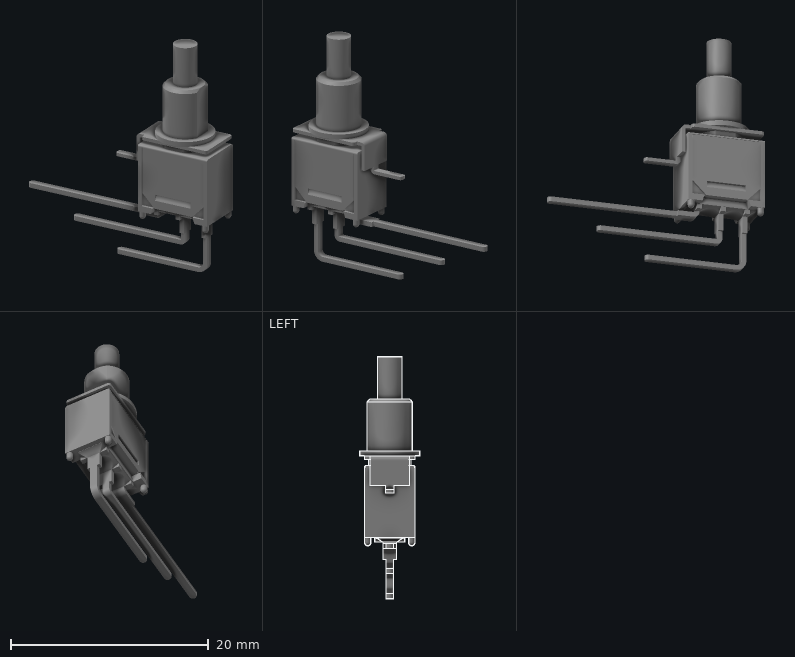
import cadquery as cq
import math


OVERALL_LENGTH = 22.35
OVERALL_HEIGHT = 24.5

HOUSING_LENGTH = 8.13
HOUSING_WIDTH = 5.12
HOUSING_HEIGHT = 7.3
HOUSING_EDGE_RADIUS = 0.22
HALF_WIDTH = HOUSING_WIDTH / 2

WINDOW_LEFT = -3.65
WINDOW_RIGHT = 3.65
WINDOW_BOTTOM = 0.65
WINDOW_TOP = HOUSING_HEIGHT - HOUSING_EDGE_RADIUS
WINDOW_DEPTH = 0.3
PANEL_RECESS = 0.07
PANEL_GAP = 0.07
PANEL_CORNER = 1.42
GAP_HALF_TOP = 2.35
GAP_HALF_BOTTOM = 2.57
GAP_DEPTH = 0.98
NOTCH_LENGTH = 4.16
NOTCH_BOTTOM = 1.55
NOTCH_TOP = 2.2
NOTCH_DEPTH = 0.35

PEG_DIAMETER = 0.65
PEG_X = 3.7
PEG_Y = HALF_WIDTH - PEG_DIAMETER / 2
PEG_STRAIGHT = 0.51

BUTTON_DIAMETER = 2.5
BUTTON_TOP = 18.3
BUSHING_RADIUS = 2.3
BUSHING_TOP = 14.01
BUSHING_CHAMFER = 0.3
BUSHING_FLAT_X = 2.0
WASHER_DIAMETER = 6.1
WASHER_THICKNESS = 0.51
COLLAR_RADIUS = 2.4
COLLAR_FLATS = 4.3

BRACKET_THICKNESS = 0.37
BRACKET_TOP = 8.25
BRACKET_BOTTOM = BRACKET_TOP - BRACKET_THICKNESS
PLATE_LEFT = -3.63
PLATE_RIGHT = 4.02
PLATE_CORNER_RADIUS = 0.3
LEG_OUTER_X = -4.58
LEG_INNER_X = LEG_OUTER_X + BRACKET_THICKNESS
LEG_WIDTH = 4.0
LEG_BOTTOM = 5.27
BRACKET_INNER_RADIUS = 0.1
TAB_BOTTOM = 4.48
TAB_TIP_X = -7.99
TAB_WIDTH = 0.83
TAB_TIP_RADIUS = 0.3

PITCH = 2.55
LEAD_THICKNESS = 0.51
LEAD_WIDTH = 0.78
SHANK_WIDTH = 1.4
SHANK_BOTTOM = -2.23
SHANK_LEFT = -4.55
HEAD_WIDTH = 3.05
HEAD_BOTTOM = -0.47
ROOT_Z = 0.25
TIGHT_BEND_RADIUS = 0.12
TERMINALS = [
    (-PITCH, -1.13, HOUSING_LENGTH / 2 - OVERALL_LENGTH, TIGHT_BEND_RADIUS),
    (0, -3.63, -13.0, TIGHT_BEND_RADIUS),
    (PITCH, BUTTON_TOP - OVERALL_HEIGHT, -7.91, 0.6),
]

POTTING_HALF_TOP = 1.47
POTTING_HALF_BOTTOM = 0.74
POTTING_SAG = 0.02
POTTING_MIDDLE = -0.15


def block(x_min, x_max, width, z_min, z_max):
    """Box centred on Y = 0."""
    return (
        cq.Workplane("XY", origin=((x_min + x_max) / 2, 0, z_min))
        .rect(x_max - x_min, width)
        .extrude(z_max - z_min)
    )


def cylinder(radius, z_min, z_max):
    return cq.Workplane("XY", origin=(0, 0, z_min)).circle(radius).extrude(z_max - z_min)


def bent_strip(right_x, top_z, bottom_z, tip_x, thickness, inner_radius, width):
    """Strip that runs down at right_x, bends and runs along -X to tip_x."""
    outer_radius = inner_radius + thickness
    bend_x = right_x - outer_radius
    bend_z = bottom_z + outer_radius
    diagonal = math.sqrt(0.5)
    return (
        cq.Workplane("XZ")
        .moveTo(right_x, top_z)
        .lineTo(right_x, bend_z)
        .threePointArc(
            (bend_x + outer_radius * diagonal, bend_z - outer_radius * diagonal),
            (bend_x, bottom_z),
        )
        .lineTo(tip_x, bottom_z)
        .lineTo(tip_x, bottom_z + thickness)
        .lineTo(bend_x, bottom_z + thickness)
        .threePointArc(
            (bend_x + inner_radius * diagonal, bend_z - inner_radius * diagonal),
            (right_x - thickness, bend_z),
        )
        .lineTo(right_x - thickness, top_z)
        .close()
        .extrude(width / 2, both=True)
    )


def front_prism(points, depth_from, depth_to):
    """Prism of an XZ outline, between two depths below the front face of the housing."""
    return (
        cq.Workplane("XZ", origin=(0, depth_from - HALF_WIDTH, 0))
        .polyline(points)
        .close()
        .extrude(depth_from - depth_to)
    )


def window_cut():
    """Everything removed from the front face of the housing."""
    window = front_prism(
        [
            (WINDOW_LEFT, WINDOW_BOTTOM),
            (WINDOW_RIGHT, WINDOW_BOTTOM),
            (WINDOW_RIGHT, WINDOW_TOP),
            (WINDOW_LEFT, WINDOW_TOP),
        ],
        0,
        WINDOW_DEPTH,
    )
    panel_left = WINDOW_LEFT + PANEL_GAP
    panel = front_prism(
        [
            (panel_left, WINDOW_TOP),
            (panel_left, WINDOW_BOTTOM + PANEL_CORNER),
            (panel_left + PANEL_CORNER, WINDOW_BOTTOM),
            (WINDOW_RIGHT - PANEL_CORNER, WINDOW_BOTTOM),
            (WINDOW_RIGHT, WINDOW_BOTTOM + PANEL_CORNER),
            (WINDOW_RIGHT, WINDOW_TOP),
        ],
        PANEL_RECESS,
        WINDOW_DEPTH,
    )
    lower_gap = front_prism(
        [
            (-GAP_HALF_BOTTOM, 0),
            (GAP_HALF_BOTTOM, 0),
            (GAP_HALF_TOP, WINDOW_BOTTOM),
            (-GAP_HALF_TOP, WINDOW_BOTTOM),
        ],
        0,
        GAP_DEPTH,
    )
    panel_y = PANEL_RECESS - HALF_WIDTH
    notch = (
        cq.Workplane("YZ")
        .polyline(
            [
                (panel_y, NOTCH_BOTTOM),
                (panel_y + NOTCH_DEPTH, NOTCH_TOP),
                (panel_y, NOTCH_TOP),
            ]
        )
        .close()
        .extrude(NOTCH_LENGTH / 2, both=True)
    )
    return window.cut(panel).union(lower_gap).union(notch)


def housing():
    body = block(-HOUSING_LENGTH / 2, HOUSING_LENGTH / 2, HOUSING_WIDTH, 0, HOUSING_HEIGHT)
    body = body.edges("|X and >Z").fillet(HOUSING_EDGE_RADIUS)
    cut = window_cut()
    return body.cut(cut).cut(cut.mirror("XZ"))


def pegs():
    radius = PEG_DIAMETER / 2
    shaft = cylinder(radius, -PEG_STRAIGHT, ROOT_Z)
    dome = cq.Workplane("XY", origin=(0, 0, -PEG_STRAIGHT)).sphere(radius)
    peg = shaft.union(dome).val()
    corners = cq.Workplane("XY").rect(2 * PEG_X, 2 * PEG_Y, forConstruction=True).vertices()
    return corners.eachpoint(lambda location: peg.moved(location))


def button_stack():
    """Collar, washer, bushing with one flat, and button."""
    collar = cylinder(COLLAR_RADIUS, HOUSING_HEIGHT, BRACKET_BOTTOM).intersect(
        block(-COLLAR_RADIUS, COLLAR_RADIUS, COLLAR_FLATS, HOUSING_HEIGHT, BRACKET_BOTTOM)
    )
    washer = cylinder(WASHER_DIAMETER / 2, BRACKET_TOP, BRACKET_TOP + WASHER_THICKNESS)
    bushing = cylinder(BUSHING_RADIUS, BRACKET_TOP, BUSHING_TOP)
    bushing = bushing.faces(">Z").chamfer(BUSHING_CHAMFER)
    bushing = bushing.intersect(
        block(-BUSHING_RADIUS, BUSHING_FLAT_X, 2 * BUSHING_RADIUS, BRACKET_TOP, BUSHING_TOP)
    )
    button = cylinder(BUTTON_DIAMETER / 2, HOUSING_HEIGHT, BUTTON_TOP)
    return collar.union(washer).union(bushing).union(button)


def bracket():
    """Plate under the washer, bent down into a leg that ends in a narrow tab."""
    outer_radius = BRACKET_INNER_RADIUS + BRACKET_THICKNESS
    plate = block(PLATE_LEFT, PLATE_RIGHT, HOUSING_WIDTH, BRACKET_BOTTOM, BRACKET_TOP)
    plate = plate.edges("|Z").fillet(PLATE_CORNER_RADIUS)
    leg = block(LEG_OUTER_X, 0, LEG_WIDTH, LEG_BOTTOM, BRACKET_TOP)
    leg = leg.edges("|Y and <X and >Z").fillet(outer_radius)
    below_plate = block(LEG_INNER_X, 0, LEG_WIDTH, LEG_BOTTOM, BRACKET_BOTTOM)
    below_plate = below_plate.edges("|Y and <X and >Z").fillet(BRACKET_INNER_RADIUS)
    tab = bent_strip(
        LEG_INNER_X, LEG_BOTTOM, TAB_BOTTOM, TAB_TIP_X, BRACKET_THICKNESS, BRACKET_INNER_RADIUS, TAB_WIDTH
    )
    tab = tab.edges("|Z and <X").fillet(TAB_TIP_RADIUS)
    return plate.union(leg.cut(below_plate)).union(tab)


def terminal(x_center, bottom_z, tip_x, inner_radius):
    """Bent lead with a wider shank near the housing and a wide head at its root."""
    right_x = x_center + LEAD_THICKNESS / 2
    tip_radius = LEAD_WIDTH / 2
    tip_center_x = tip_x + tip_radius

    def strip(width):
        return bent_strip(right_x, ROOT_Z, bottom_z, tip_center_x, LEAD_THICKNESS, inner_radius, width)

    tip = cylinder(tip_radius, bottom_z, bottom_z + LEAD_THICKNESS).translate((tip_center_x, 0, 0))
    lead = strip(LEAD_WIDTH).union(tip)
    shank = strip(SHANK_WIDTH).intersect(block(SHANK_LEFT, right_x, SHANK_WIDTH, SHANK_BOTTOM, ROOT_Z))
    head = block(right_x - LEAD_THICKNESS, right_x, HEAD_WIDTH, HEAD_BOTTOM, ROOT_Z)
    return lead.union(shank).union(head)


def potting():
    """Bead along X with hollow flanks, scalloped between and beside the terminals."""
    half_length = 1.5 * PITCH - LEAD_THICKNESS / 2
    mid_y = (POTTING_HALF_TOP + POTTING_HALF_BOTTOM) / 2 - POTTING_SAG
    mid_z = HEAD_BOTTOM / 2 + POTTING_SAG
    bead = (
        cq.Workplane("YZ")
        .moveTo(-POTTING_HALF_TOP, ROOT_Z)
        .lineTo(-POTTING_HALF_TOP, 0)
        .threePointArc((-mid_y, mid_z), (-POTTING_HALF_BOTTOM, HEAD_BOTTOM))
        .lineTo(POTTING_HALF_BOTTOM, HEAD_BOTTOM)
        .threePointArc((mid_y, mid_z), (POTTING_HALF_TOP, 0))
        .lineTo(POTTING_HALF_TOP, ROOT_Z)
        .close()
        .extrude(half_length, both=True)
    )
    half_span = (PITCH - LEAD_THICKNESS) / 2
    for step, top_z in ((-1.5, 0), (-0.5, POTTING_MIDDLE), (0.5, POTTING_MIDDLE), (1.5, 0)):
        middle = step * PITCH
        scallop = (
            cq.Workplane("XZ")
            .moveTo(middle - half_span, HEAD_BOTTOM)
            .threePointArc((middle, top_z), (middle + half_span, HEAD_BOTTOM))
            .close()
            .extrude(HALF_WIDTH, both=True)
        )
        bead = bead.cut(scallop)
    return bead


result = housing().union(pegs()).union(button_stack()).union(bracket()).union(potting())
for dimensions in TERMINALS:
    result = result.union(terminal(*dimensions))